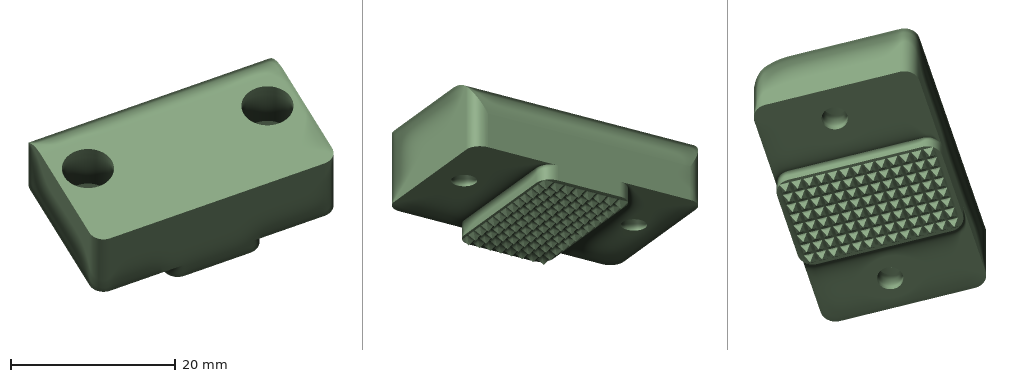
import cadquery as cq

length_x = 20.95
width_y = 32.62
body_height = 9.65
corner_radius = 1.905
top_round_radius = 5.08

pad_width_y = 12.7
pad_height = 2.03

tooth_pitch = 1.524
tooth_base = 1.27
tooth_height = 0.89
teeth_along_x = 13
teeth_along_y = 8

hole_diameter = 3.2
counterbore_diameter = 6.35
counterbore_depth = 6.35
hole_from_rounded_side = 9.525
hole_spacing_y = 24.13


def make_body():
    """Block with rounded vertical corners and a large round along its -X top edge."""
    block = cq.Workplane("XY").box(length_x, width_y, body_height, centered=(True, True, False))
    block = block.edges("|Z").fillet(corner_radius)
    envelope = cq.Workplane("XY").box(length_x, width_y, body_height, centered=(True, True, False))
    envelope = envelope.edges("<X and >Z").fillet(top_round_radius)
    return block.intersect(envelope)


def make_pad():
    """Central pad as long as the body, with rounded vertical corners."""
    pad = cq.Workplane("XY").box(length_x, pad_width_y, pad_height, centered=(True, True, False))
    return pad.edges("|Z").fillet(corner_radius).translate((0, 0, -pad_height))


def make_tooth():
    """Square pyramid pointing down, with its base on Z = 0."""
    half = tooth_base / 2
    tip = cq.Vector(0, 0, -tooth_height)
    corners = [
        cq.Vector(-half, -half, 0),
        cq.Vector(half, -half, 0),
        cq.Vector(half, half, 0),
        cq.Vector(-half, half, 0),
    ]
    faces = [cq.Face.makeFromWires(cq.Wire.makePolygon(corners, close=True))]
    for start, end in zip(corners, corners[1:] + corners[:1]):
        faces.append(cq.Face.makeFromWires(cq.Wire.makePolygon([start, end, tip], close=True)))
    return cq.Solid.makeSolid(cq.Shell.makeShell(faces))


def add_teeth(part):
    """Add the centred grid of teeth to the underside of the pad."""
    tooth = make_tooth()
    first_x = -tooth_pitch * (teeth_along_x - 1) / 2
    first_y = -tooth_pitch * (teeth_along_y - 1) / 2
    teeth = []
    for column in range(teeth_along_x):
        for row in range(teeth_along_y):
            place = cq.Vector(first_x + column * tooth_pitch, first_y + row * tooth_pitch, -pad_height)
            teeth.append(tooth.translate(place))
    return cq.Workplane(part.val().fuse(*teeth)).solids()


def cut_screw_holes(body):
    """Cut the two counterbored through holes from the top face."""
    hole_x = -length_x / 2 + hole_from_rounded_side
    places = [(hole_x, -hole_spacing_y / 2), (hole_x, hole_spacing_y / 2)]
    top = cq.Workplane("XY", origin=(0, 0, body_height)).pushPoints(places)
    through_holes = top.circle(hole_diameter / 2).extrude(-body_height)
    counterbores = top.circle(counterbore_diameter / 2).extrude(-counterbore_depth)
    return body.cut(through_holes).cut(counterbores)


body = cut_screw_holes(make_body())
result = add_teeth(body.union(make_pad()))